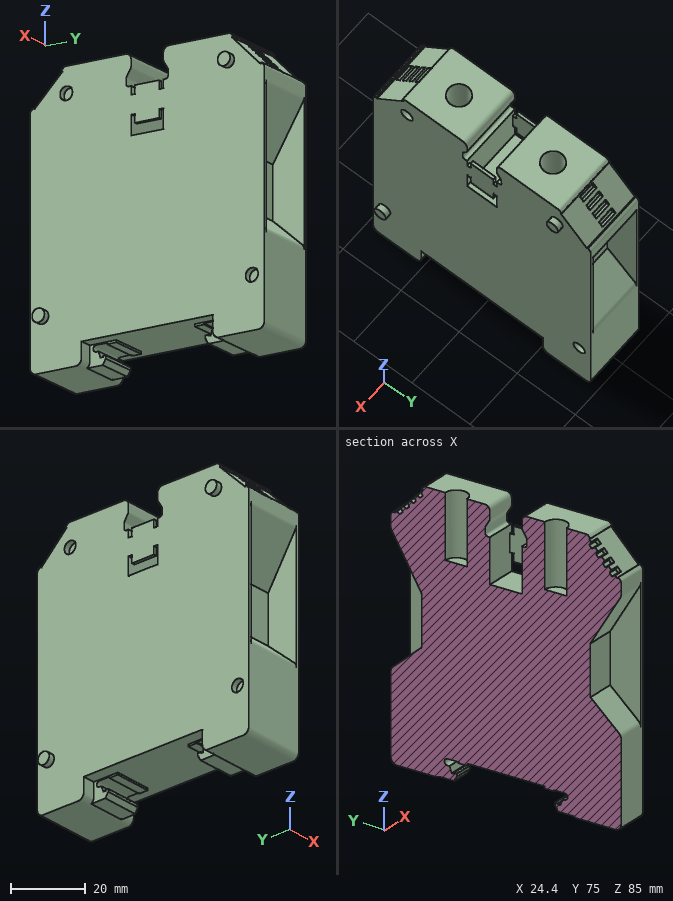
import cadquery as cq
import math


overall_width = 24.4
pin_length = 2.0
body_width = overall_width - 2 * pin_length
body_length = 75.0
body_height = 85.0
wall = 1.0
half_width = body_width / 2
half_length = body_length / 2
cavity_width = body_width - 2 * wall
edge_radius = 2.0

shoulder_drop = 11.0
shoulder_angle = 45
shoulder_radius = 1.0
lip_length = 1.4
marker_recess = 0.5

slot_count = 4
slot_width = 5.5
slot_height = 1.75
slot_pitch = 3.08
slot_depth = 1.15
slot_draft_angle = 15

channel_width = 10.3
channel_edge_radius = 1.7
channel_floor_z = 61.7
bulge_width = 13.4
bulge_floor_z = 75.7
bulge_top_z = 78.3
neck_z = 80.8
bulge_radius = 0.8
flank_radius = 1.0

plate_bridge_bottom_z = 67.6
plate_bridge_height = 5.6
plate_tab_width = 7.8
plate_tab_overhang = 2.5

screw_hole_diameter = 7.0
screw_hole_offset = 16.2
screw_hole_depth = 20.0

pocket_depth = 10.0
pocket_top_z = 69.5
pocket_back_top_z = 53.0
pocket_back_bottom_z = 37.1
pocket_bottom_z = 28.3
pocket_top_radius = 1.7
pocket_bottom_radius = 2.0

rail_recess_length = 42.0
rail_recess_height = 6.65
half_recess = rail_recess_length / 2
hook_width = 12.2
hook_bottom_z = 0.35
hook_roof_z = 6.35
pad_inner = 12.5
pad_outer = 15.5
pad_bottom_z = 6.0
hook_throat_y = 19.0
hook_throat_bottom_z = 4.5
hook_throat_radius = (hook_roof_z - hook_throat_bottom_z) / 2
hook_shank_y = 18.3
hook_notch_y = 17.6
hook_notch_z = 2.6
hook_barb_y = 16.9
hook_tip_y = 15.9
hook_tip_top_z = 2.9
hook_tip_bottom_z = 2.0

pin_diameter = 4.0
socket_depth = pin_length
upper_pin_z = 77.3
lower_pin_z = 15.7
upper_pin_y = 25.85
lower_pin_y = 33.5


def side_profile(width):
    """Sketching plane in Y and Z whose extrusion is centred on X = 0."""
    return cq.Workplane("YZ").workplane(offset=-width / 2)


def both_ends(shape):
    """Join a feature at the -Y end with its mirror image at the +Y end."""
    return shape.union(shape.mirror("XZ"))


def edges_at(y, z):
    """Selector for the edges running along X through (+-y, z)."""
    reach = 0.01
    boxes = [
        cq.selectors.BoxSelector(
            (-half_width, side * y - reach, z - reach),
            (half_width, side * y + reach, z + reach),
        )
        for side in (-1, 1)
    ]
    return boxes[0] + boxes[1]


def make_body():
    shoulder_y = half_length - shoulder_drop
    shoulder_z = body_height - shoulder_drop
    body = (
        side_profile(body_width)
        .polyline([
            (-half_length, 0),
            (half_length, 0),
            (half_length, shoulder_z),
            (shoulder_y, body_height),
            (-shoulder_y, body_height),
            (-half_length, shoulder_z),
        ])
        .close()
        .extrude(body_width)
    )
    recess = side_profile(body_width).rect(rail_recess_length, 2 * rail_recess_height)
    body = body.cut(recess.extrude(body_width))
    body = body.edges(edges_at(half_length, 0)).fillet(edge_radius)
    body = body.edges(edges_at(half_recess, 0)).fillet(edge_radius)
    body = body.edges(edges_at(half_length, shoulder_z)).fillet(shoulder_radius)
    return body.edges(edges_at(shoulder_y, body_height)).fillet(shoulder_radius)


def marker_slot(position):
    """Marker slot with drafted long walls, sunk into the recessed face of the shoulder."""
    draft = slot_depth * math.tan(math.radians(slot_draft_angle))
    top = -marker_recess
    floor = top - slot_depth
    return (
        cq.Workplane("YZ")
        .workplane(offset=-slot_width / 2)
        .polyline([
            (position - slot_height / 2, top),
            (position + slot_height / 2, top),
            (position + slot_height / 2 - draft, floor),
            (position - slot_height / 2 + draft, floor),
        ])
        .close()
        .extrude(slot_width)
    )


def shoulder_cuts():
    """Recess and slots of the -Y shoulder, laid out flat and then tilted onto its face."""
    face_length = shoulder_drop * math.sqrt(2)
    recess_length = face_length - 2 * lip_length
    cuts = cq.Workplane("XY").box(body_width, recess_length, 2 * marker_recess)
    for index in range(slot_count):
        cuts = cuts.union(marker_slot((index - (slot_count - 1) / 2) * slot_pitch))
    face_y = -(half_length - shoulder_drop / 2)
    face_z = body_height - shoulder_drop / 2
    return cuts.rotate((0, 0, 0), (1, 0, 0), shoulder_angle).translate((0, face_y, face_z))


def channel():
    neck = channel_width / 2
    bulge = bulge_width / 2
    slot_full_height = body_height - channel_floor_z
    slot = (
        side_profile(body_width)
        .center(0, channel_floor_z + slot_full_height / 2)
        .rect(channel_width, slot_full_height)
        .extrude(body_width)
    )
    widening = (
        side_profile(body_width)
        .polyline([
            (-bulge, bulge_floor_z),
            (bulge, bulge_floor_z),
            (bulge, bulge_top_z),
            (neck, neck_z),
            (-neck, neck_z),
            (-bulge, bulge_top_z),
        ])
        .close()
        .extrude(body_width)
    )
    opening = slot.union(widening)
    opening = opening.edges(edges_at(bulge, bulge_floor_z)).fillet(bulge_radius)
    opening = opening.edges(edges_at(bulge, bulge_top_z)).fillet(flank_radius)
    return opening.edges(edges_at(neck, neck_z)).fillet(flank_radius)


def end_plates():
    middle_z = plate_bridge_bottom_z + plate_bridge_height / 2
    tab_height = plate_bridge_height + 2 * plate_tab_overhang
    bridge = cq.Workplane("XY").box(wall, channel_width, plate_bridge_height)
    plate = bridge.union(cq.Workplane("XY").box(wall, plate_tab_width, tab_height))
    plate_x = half_width - wall / 2
    left = plate.translate((-plate_x, 0, middle_z))
    right = plate.translate((plate_x, 0, middle_z))
    return left.union(right)


def screw_holes():
    return (
        cq.Workplane("XY")
        .workplane(offset=body_height)
        .pushPoints([(0, -screw_hole_offset), (0, screw_hole_offset)])
        .circle(screw_hole_diameter / 2)
        .extrude(-screw_hole_depth)
    )


def wire_pocket():
    """Pocket in the -Y end with sloped top and bottom."""
    back_y = pocket_depth - half_length
    return (
        side_profile(cavity_width)
        .polyline([
            (-half_length, pocket_bottom_z),
            (back_y, pocket_back_bottom_z),
            (back_y, pocket_back_top_z),
            (-half_length, pocket_top_z),
        ])
        .close()
        .extrude(cavity_width)
    )


def pocket_lip(corner_z, slope_z, radius):
    """Extra material to cut so that a pocket rim is rounded where it meets the end face."""
    slope = math.atan2(pocket_depth, abs(slope_z - corner_z))
    tangent = radius * math.tan(slope / 2)
    outward = math.copysign(1, corner_z - slope_z)
    face_point = (-half_length, corner_z + outward * tangent)
    slope_point = (
        -half_length + tangent * math.sin(slope),
        corner_z - outward * tangent * math.cos(slope),
    )
    mid_point = (
        -half_length + radius * (1 - math.cos(slope / 2)),
        face_point[1] - outward * radius * math.sin(slope / 2),
    )
    return (
        side_profile(cavity_width)
        .moveTo(-half_length, corner_z)
        .lineTo(*face_point)
        .threePointArc(mid_point, slope_point)
        .close()
        .extrude(cavity_width)
    )


def rounded_pocket():
    pocket = wire_pocket()
    pocket = pocket.union(pocket_lip(pocket_top_z, pocket_back_top_z, pocket_top_radius))
    return pocket.union(pocket_lip(pocket_bottom_z, pocket_back_bottom_z, pocket_bottom_radius))


def rail_hook():
    """Snap hook and rail seat strip at the -Y side of the rail recess."""
    root_y = half_recess + edge_radius
    return (
        side_profile(hook_width)
        .moveTo(-root_y, hook_bottom_z)
        .lineTo(-hook_barb_y, hook_bottom_z)
        .lineTo(-hook_tip_y, hook_tip_bottom_z)
        .lineTo(-hook_tip_y, hook_tip_top_z)
        .lineTo(-hook_barb_y, hook_tip_top_z)
        .lineTo(-hook_barb_y, hook_notch_z)
        .lineTo(-hook_notch_y, hook_notch_z)
        .lineTo(-hook_shank_y, hook_throat_bottom_z)
        .lineTo(-hook_throat_y, hook_throat_bottom_z)
        .threePointArc(
            (-hook_throat_y - hook_throat_radius, hook_throat_bottom_z + hook_throat_radius),
            (-hook_throat_y, hook_roof_z),
        )
        .lineTo(-pad_outer, hook_roof_z)
        .lineTo(-pad_outer, pad_bottom_z)
        .lineTo(-pad_inner, pad_bottom_z)
        .lineTo(-pad_inner, rail_recess_height)
        .lineTo(-root_y, rail_recess_height)
        .close()
        .extrude(hook_width)
    )


def cylinders_on_side(points, start_x, length):
    return (
        cq.Workplane("YZ")
        .workplane(offset=start_x)
        .pushPoints(points)
        .circle(pin_diameter / 2)
        .extrude(length)
    )


left_pins = [(-upper_pin_y, upper_pin_z), (lower_pin_y, lower_pin_z)]
right_pins = [(upper_pin_y, upper_pin_z), (-lower_pin_y, lower_pin_z)]

result = make_body()
result = result.cut(both_ends(shoulder_cuts()))
result = result.cut(channel())
result = result.edges(edges_at(channel_width / 2, body_height)).fillet(channel_edge_radius)
result = result.union(end_plates())
result = result.cut(screw_holes())
result = result.cut(both_ends(rounded_pocket()))
result = result.union(both_ends(rail_hook()))
result = result.cut(cylinders_on_side(right_pins, -half_width, socket_depth))
result = result.cut(cylinders_on_side(left_pins, half_width, -socket_depth))
result = result.union(cylinders_on_side(left_pins, -half_width, -pin_length))
result = result.union(cylinders_on_side(right_pins, half_width, pin_length))